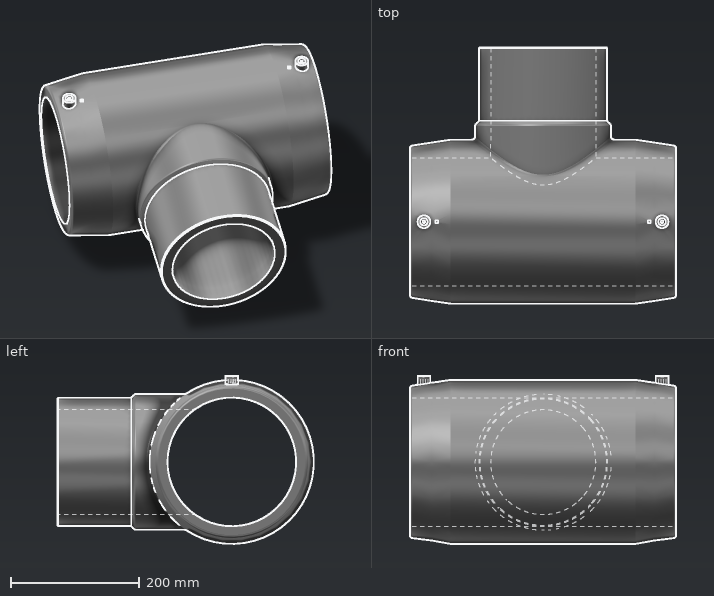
import cadquery as cq

run_length = 415.0
run_diameter = 256.0
run_bore = 200.0
taper_length = 63.5
taper_end_diameter = 236.8
run_end_fillet = 5.0

branch_end_y = 272.0
branch_diameter = 200.0
branch_bore = 163.6
branch_end_chamfer = 1.5
collar_diameter = 212.0
collar_end_y = 157.0
collar_edge_fillet = 4.0
junction_fillet = 5.0

terminal_x = 185.5
terminal_diameter = 20.0
terminal_top_z = 134.0
terminal_bore = 11.5
terminal_bore_depth = 12.0
contact_diameter = 4.0
contact_recess = 1.0

indicator_x = 165.5
indicator_diameter = 5.0
indicator_depth = 1.0

root_depth = 5.0

run_half = run_length / 2
run_radius = run_diameter / 2
taper_start_x = run_half - taper_length
terminal_floor_z = terminal_top_z - terminal_bore_depth


def cylinder_up(x, diameter, bottom_z, top_z):
    """Vertical cylinder on the run's centre plane."""
    base = cq.Workplane("XY", origin=(x, 0, bottom_z))
    return base.circle(diameter / 2).extrude(top_z - bottom_z)


def cylinder_along_branch(diameter, end_y):
    """Cylinder on the branch axis, from the run axis out to end_y."""
    return cq.Workplane("XZ").circle(diameter / 2).extrude(-end_y)


def make_run():
    """Solid body of the run with tapered, rounded ends."""
    end_radius = taper_end_diameter / 2
    profile = (
        cq.Workplane("XY")
        .moveTo(-run_half, 0)
        .lineTo(-run_half, end_radius)
        .lineTo(-taper_start_x, run_radius)
        .lineTo(taper_start_x, run_radius)
        .lineTo(run_half, end_radius)
        .lineTo(run_half, 0)
        .close()
    )
    body = profile.revolve(360, (0, 0, 0), (1, 0, 0))
    return body.faces("<X or >X").edges().fillet(run_end_fillet)


def make_collar():
    """Collar with a 45 degree shoulder down to the branch and a rounded shoulder edge."""
    shoulder = (collar_diameter - branch_diameter) / 2
    collar = cylinder_along_branch(collar_diameter, collar_end_y)
    collar = collar.faces(">Y").edges().chamfer(shoulder)
    shoulder_edge = cq.selectors.NearestToPointSelector((0, collar_end_y - shoulder, collar_diameter / 2))
    return collar.edges("%CIRCLE").edges(shoulder_edge).fillet(collar_edge_fillet)


def make_branch():
    """Solid branch pipe with a chamfered outer end."""
    branch = cylinder_along_branch(branch_diameter, branch_end_y)
    return branch.faces(">Y").edges().chamfer(branch_end_chamfer)


def join_run_and_branch():
    """Run and collar blended by a fillet along their meeting curve, then the branch."""
    body = make_run().union(make_collar())
    body = body.edges("(not %CIRCLE) and (not %LINE)").fillet(junction_fillet)
    return body.union(make_branch())


def add_terminal(body, x):
    """Terminal socket with its contact pin standing on the socket floor."""
    body = body.union(cylinder_up(x, terminal_diameter, terminal_floor_z - root_depth, terminal_top_z))
    body = body.cut(cylinder_up(x, terminal_bore, terminal_floor_z, terminal_top_z))
    contact_top_z = terminal_top_z - contact_recess
    return body.union(cylinder_up(x, contact_diameter, terminal_floor_z - root_depth, contact_top_z))


def taper_height(x):
    """Height of the tapered surface above the run axis at distance x from the middle."""
    drop = run_radius - taper_end_diameter / 2
    return run_radius - drop * (x - taper_start_x) / taper_length


def cut_indicator(body, x):
    """Shallow flat-bottomed indicator hole sunk into the tapered surface."""
    floor_z = taper_height(abs(x)) - indicator_depth
    return body.cut(cylinder_up(x, indicator_diameter, floor_z, terminal_top_z))


def cut_bores(body):
    """Through bore of the run and the branch bore opening into it."""
    run_hole = cq.Workplane("YZ", origin=(-run_half, 0, 0)).circle(run_bore / 2).extrude(run_length)
    return body.cut(run_hole).cut(cylinder_along_branch(branch_bore, branch_end_y))


result = cut_bores(join_run_and_branch())
for side in (-1, 1):
    result = add_terminal(result, side * terminal_x)
    result = cut_indicator(result, side * indicator_x)